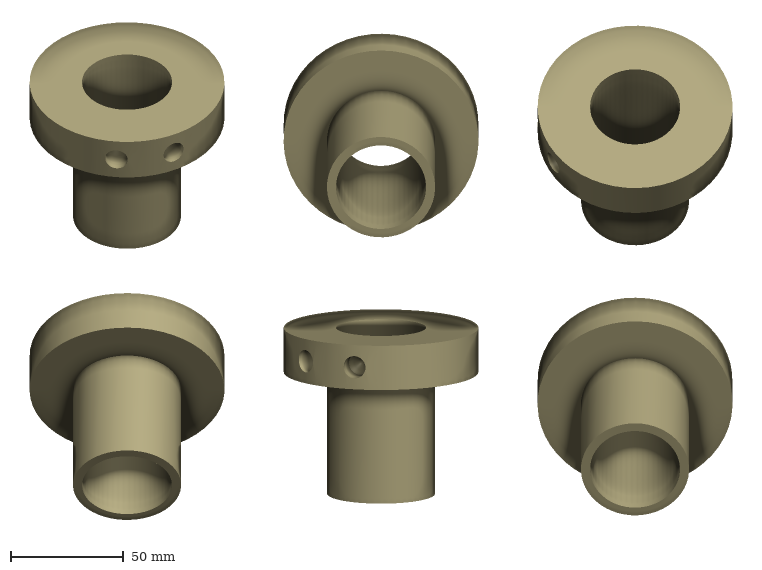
import cadquery as cq
import math

flange_diameter = 86.5
flange_thickness = 20.0

overall_height = 75.0
sleeve_diameter = 48.0
bore_diameter = 40.0
sleeve_length = overall_height - flange_thickness

hole_diameter = 10.0
hole_depth = 9.0
cone_angle = 90.0
hole_angles = (-80.0, -45.0)
hole_height = sleeve_length + flange_thickness / 2


def radial_drill(angle):
    """Drill-shaped cutter that enters the rim of the flange at the given angle."""
    rim_radius = flange_diameter / 2
    shoulder_radius = rim_radius - hole_depth
    hole_radius = hole_diameter / 2
    cone_length = hole_radius / math.tan(math.radians(cone_angle / 2))
    return (
        cq.Workplane("XZ")
        .moveTo(shoulder_radius - cone_length, 0)
        .lineTo(shoulder_radius, hole_radius)
        .lineTo(rim_radius, hole_radius)
        .lineTo(rim_radius, 0)
        .close()
        .revolve(360, (0, 0, 0), (1, 0, 0))
        .rotate((0, 0, 0), (0, 0, 1), angle)
        .translate((0, 0, hole_height))
    )


def make_flanged_bush():
    """Sleeve with a flange at its top, one through bore and blind holes in the rim."""
    sleeve = cq.Workplane("XY").circle(sleeve_diameter / 2).extrude(sleeve_length)
    flange = (
        cq.Workplane("XY")
        .workplane(offset=sleeve_length)
        .circle(flange_diameter / 2)
        .extrude(flange_thickness)
    )
    bore = cq.Workplane("XY").circle(bore_diameter / 2).extrude(overall_height)
    bush = sleeve.union(flange).cut(bore)
    for angle in hole_angles:
        bush = bush.cut(radial_drill(angle))
    return bush


flanged_bush = make_flanged_bush()

result = cq.Compound.makeCompound([*flanged_bush.solids().vals()])